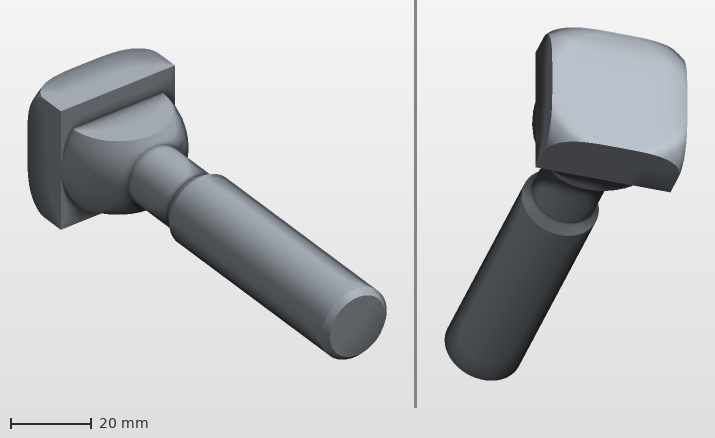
import cadquery as cq
import math

head_side = 35.0
head_thickness = 14.0
head_half = head_side / 2
corner_reach = head_half * math.sqrt(2)
corner_round = corner_reach - head_half

ball_radius = head_half
neck_width = 21.7

overall_length = 114.0
shank_radius = 8.3
thread_radius = 10.0
thread_length = 65.0
runout_angle = 30.0
tip_chamfer = 1.5

thread_start = overall_length - thread_length
runout_length = (thread_radius - shank_radius) / math.tan(math.radians(runout_angle))


def revolve_about_x(profile):
    """Turn an open profile (x along the axis, y as radius) fully about the X axis."""
    return profile.close().revolve(360, (0, 0, 0), (1, 0, 0))


def make_head():
    """Square block whose front corners are rounded by a turned envelope."""
    block = cq.Workplane("XY").box(head_thickness, head_side, head_side, centered=(False, True, True))
    diagonal_offset = corner_round * math.sqrt(0.5)
    arc_middle = (corner_round - diagonal_offset, head_half + diagonal_offset)
    envelope = revolve_about_x(
        cq.Workplane("XY")
        .lineTo(0, head_half)
        .threePointArc(arc_middle, (corner_round, corner_reach))
        .lineTo(head_thickness, corner_reach)
        .lineTo(head_thickness, 0)
    )
    return block.intersect(envelope)


def make_neck():
    """Half ball centred on the back of the head, cut flat above and below."""
    ball = cq.Workplane("XY").sphere(ball_radius)
    slab = cq.Workplane("XY").box(ball_radius, head_side, neck_width, centered=(False, True, True))
    return ball.intersect(slab).translate((head_thickness, 0, 0))


def make_shank():
    """Plain shank, conical run-out and thread-diameter rod with a chamfered tip."""
    return revolve_about_x(
        cq.Workplane("XY")
        .moveTo(head_thickness, 0)
        .lineTo(head_thickness, shank_radius)
        .lineTo(thread_start - runout_length, shank_radius)
        .lineTo(thread_start, thread_radius)
        .lineTo(overall_length - tip_chamfer, thread_radius)
        .lineTo(overall_length, thread_radius - tip_chamfer)
        .lineTo(overall_length, 0)
    )


result = make_head().union(make_neck()).union(make_shank())